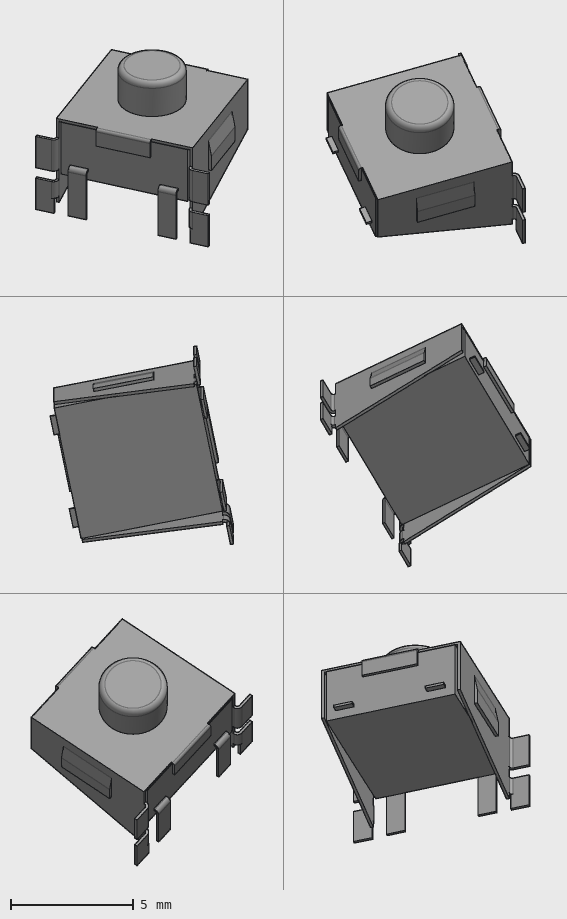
import cadquery as cq


sheet = 0.125
lead = 0.11

cover_half_x = 3.02
cover_half_y = 2.925
cover_top_z = 4.4
wall_front_z = 0.4
wall_rear_z = 2.0
lid_under_z = cover_top_z - sheet

tab_width = 2.4
tab_bottom_z = 3.6
tab_outer_y = 3.1
tab_fold_radius = 0.12

catch_width = 2.5
catch_top_z = 3.8
catch_ridge_z = 3.1
catch_bottom_z = 2.4
catch_rise = 0.13

base_half_x = 2.8
base_half_y = 2.95
base_bottom_z = 1.8

plunger_radius = 1.4
plunger_top_z = 6.0
plunger_fillet = 0.25

lead_outer_y = 3.2
pin_width = 0.8
pin_spacing = 3.98
pin_top_z = 2.33
pin_bottom_z = 0.03
pin_bend_radius = 0.2
pin_embed = 0.3

wing_outer_x = 3.82
wing_bend_inner = 0.11
upper_wing_z = (2.0, 3.5)
lower_wing_z = (0.0, 1.5)
lower_bend_bottom_z = 0.7


def box(x0, x1, y0, y1, z0, z1):
    """Box between two opposite corners."""
    return cq.Workplane("XY").box(x1 - x0, y1 - y0, z1 - z0, centered=False).translate((x0, y0, z0))


def both_sides(body):
    """A body together with its mirror image across the YZ plane."""
    return body.union(body.mirror("YZ"))


def make_base():
    return box(-base_half_x, base_half_x, -base_half_y, base_half_y, base_bottom_z, lid_under_z)


def make_lid():
    return box(-cover_half_x, cover_half_x, -cover_half_y, cover_half_y, lid_under_z, cover_top_z)


def make_wall():
    """The +X side wall, with its lower edge sloping down towards the front."""
    return (
        cq.Workplane("YZ", origin=(cover_half_x - sheet, 0, 0))
        .moveTo(-cover_half_y, wall_front_z)
        .lineTo(cover_half_y, wall_rear_z)
        .lineTo(cover_half_y, cover_top_z)
        .lineTo(-cover_half_y, cover_top_z)
        .close()
        .extrude(sheet)
    )


def make_catch():
    """Raised catch on the +X wall: a ramp above a flat land."""
    return (
        cq.Workplane("XZ", origin=(0, catch_width / 2, 0))
        .moveTo(cover_half_x - sheet, catch_top_z)
        .lineTo(cover_half_x, catch_top_z)
        .lineTo(cover_half_x + catch_rise, catch_ridge_z)
        .lineTo(cover_half_x + catch_rise, catch_bottom_z)
        .lineTo(cover_half_x - sheet, catch_bottom_z)
        .close()
        .extrude(catch_width)
    )


def make_tab():
    """Tab folded down from the front edge of the lid, rounded on the outside of the fold."""
    half_width = tab_width / 2
    flap = box(-half_width, half_width, -tab_outer_y, sheet - tab_outer_y, tab_bottom_z, cover_top_z)
    flap = flap.edges("|X and <Y and >Z").fillet(tab_fold_radius)
    bridge = box(-half_width, half_width, sheet - tab_outer_y, -cover_half_y, lid_under_z, cover_top_z)
    return flap.union(bridge)


def make_plunger():
    plunger = (
        cq.Workplane("XY", origin=(0, 0, lid_under_z))
        .circle(plunger_radius)
        .extrude(plunger_top_z - lid_under_z)
    )
    return plunger.faces(">Z").edges().fillet(plunger_fillet)


def make_front_pin(x_center):
    """Pin leaving the base horizontally and bent straight down."""
    root_y = pin_embed - base_half_y
    bend_inner = pin_bend_radius - lead
    bend_y = pin_bend_radius - lead_outer_y
    bend_z = pin_top_z - pin_bend_radius
    return (
        cq.Workplane("YZ", origin=(x_center - pin_width / 2, 0, 0))
        .moveTo(root_y, pin_top_z)
        .lineTo(bend_y, pin_top_z)
        .radiusArc((-lead_outer_y, bend_z), -pin_bend_radius)
        .lineTo(-lead_outer_y, pin_bottom_z)
        .lineTo(lead - lead_outer_y, pin_bottom_z)
        .lineTo(lead - lead_outer_y, bend_z)
        .radiusArc((bend_y, pin_top_z - lead), bend_inner)
        .lineTo(root_y, pin_top_z - lead)
        .close()
        .extrude(pin_width)
    )


def make_rear_pin(x_center):
    """Straight pin leaving the rear of the base."""
    half_width = pin_width / 2
    return box(
        x_center - half_width, x_center + half_width,
        base_half_y - pin_embed, lead_outer_y,
        pin_top_z - lead, pin_top_z,
    )


def make_wing(bend_z, plate_z):
    """Wing bent outwards from the front edge of the +X wall; bend and plate have their own Z ranges."""
    wall_inner_x = cover_half_x - sheet
    bend_end_x = cover_half_x + wing_bend_inner
    plate_inner_y = sheet - lead_outer_y
    bend_start_y = plate_inner_y + wing_bend_inner
    outer_radius = wing_bend_inner + sheet
    bend = (
        cq.Workplane("XY", origin=(0, 0, bend_z[0]))
        .moveTo(wall_inner_x, -cover_half_y)
        .lineTo(wall_inner_x, bend_start_y)
        .radiusArc((bend_end_x, -lead_outer_y), -outer_radius)
        .lineTo(bend_end_x, plate_inner_y)
        .radiusArc((cover_half_x, bend_start_y), wing_bend_inner)
        .lineTo(cover_half_x, -cover_half_y)
        .close()
        .extrude(bend_z[1] - bend_z[0])
    )
    plate = box(bend_end_x, wing_outer_x, -lead_outer_y, plate_inner_y, *plate_z)
    return bend.union(plate)


def make_lower_wing():
    """Lower wing, whose plate hangs below the bend and is widened there to the wall's outer face."""
    wing = make_wing((lower_bend_bottom_z, lower_wing_z[1]), lower_wing_z)
    hanging_part = box(
        cover_half_x, wing_outer_x,
        -lead_outer_y, sheet - lead_outer_y,
        lower_wing_z[0], lower_bend_bottom_z,
    )
    return wing.union(hanging_part)


result = make_base().union(make_lid()).union(make_plunger())
result = result.union(both_sides(make_wall()))
result = result.union(both_sides(make_catch()))
result = result.union(make_tab()).union(make_tab().mirror("XZ"))
for pin_x in (-pin_spacing / 2, pin_spacing / 2):
    result = result.union(make_front_pin(pin_x)).union(make_rear_pin(pin_x))
result = result.union(both_sides(make_wing(upper_wing_z, upper_wing_z)))
result = result.union(both_sides(make_lower_wing()))